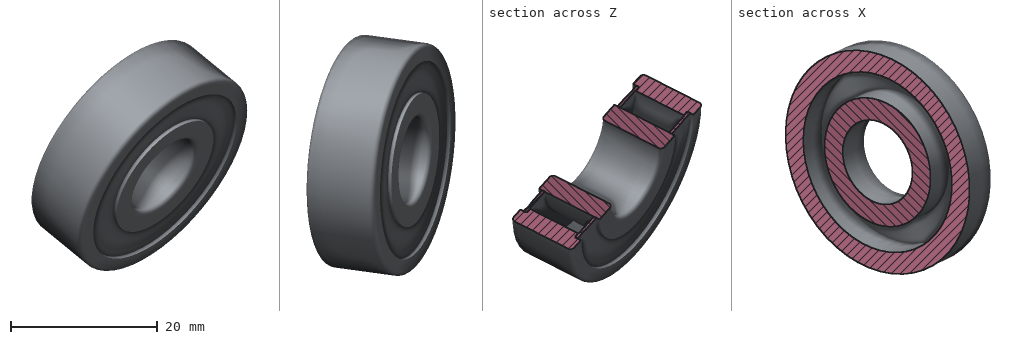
import cadquery as cq


outer_diameter = 32.0
bore_diameter = 12.0
width = 10.0
edge_radius = 0.6
inner_ring_diameter = 18.45

seat_diameter = 27.33
land_diameter = 25.7
shield_recess = 0.5
shield_thickness = 0.48

groove_bottom_diameter = 25.1
groove_inner_diameter = 22.88
groove_depth = 0.08

half_width = width / 2
shield_face = half_width - shield_recess
shield_back = shield_face - shield_thickness


def disc(diameter, length):
    """Solid cylinder about X, centred on the origin."""
    return cq.Workplane("YZ", origin=(-length / 2, 0, 0)).circle(diameter / 2).extrude(length)


def make_outer_ring():
    """Outer ring with rounded rims and a shield seat in each end."""
    body = disc(outer_diameter, width).edges().fillet(edge_radius)
    land = disc(land_diameter, width)
    seats = disc(seat_diameter, width).cut(disc(seat_diameter, 2 * shield_back))
    return body.cut(land).cut(seats)


def make_inner_ring():
    """Inner ring with rounded bore mouths."""
    body = disc(inner_ring_diameter, width).cut(disc(bore_diameter, width))
    return body.edges(cq.selectors.RadiusNthSelector(0)).fillet(edge_radius)


def make_shield(side):
    """Grooved shield filling the gap between the rings on the +X (side = 1) or -X (side = -1) end."""
    face = side * shield_face
    back = side * shield_back
    groove_bottom = side * (shield_face - groove_depth)
    section = (
        cq.Workplane("XY")
        .moveTo(back, inner_ring_diameter / 2)
        .lineTo(face, inner_ring_diameter / 2)
        .lineTo(face, groove_inner_diameter / 2)
        .lineTo(groove_bottom, groove_bottom_diameter / 2)
        .lineTo(face, seat_diameter / 2)
        .lineTo(back, seat_diameter / 2)
        .close()
    )
    return section.revolve(360, (0, 0, 0), (1, 0, 0))


outer_ring = make_outer_ring()
inner_ring = make_inner_ring()
shields = [make_shield(side) for side in (-1, 1)]

result = cq.Compound.makeCompound(
    [outer_ring.val(), inner_ring.val(), *[shield.val() for shield in shields]]
)